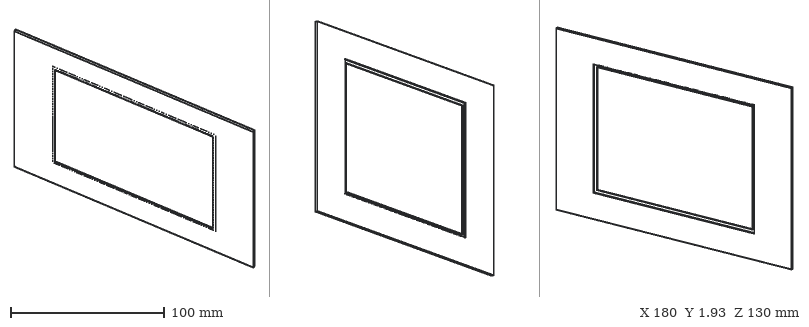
import cadquery as cq

frame_width = 180.0
frame_height = 130.0
frame_thickness = 1.93

window_width = 118.8
window_height = 88.2

lip_thickness = 0.8
rebate_margin = 2.0

front_y = -frame_thickness / 2


def centred_block(width, height, start_y, end_y):
    """Block centred in X and Z that spans start_y to end_y."""
    depth = end_y - start_y
    block = cq.Workplane("XY").box(width, depth, height)
    return block.translate((0, start_y + depth / 2, 0))


def make_plate():
    return centred_block(frame_width, frame_height, front_y, -front_y)


def make_window_cutter():
    return centred_block(window_width, window_height, front_y, -front_y)


def make_rebate_cutter():
    rebate_width = window_width + 2 * rebate_margin
    rebate_height = window_height + 2 * rebate_margin
    return centred_block(rebate_width, rebate_height, front_y + lip_thickness, -front_y)


result = make_plate().cut(make_window_cutter()).cut(make_rebate_cutter())